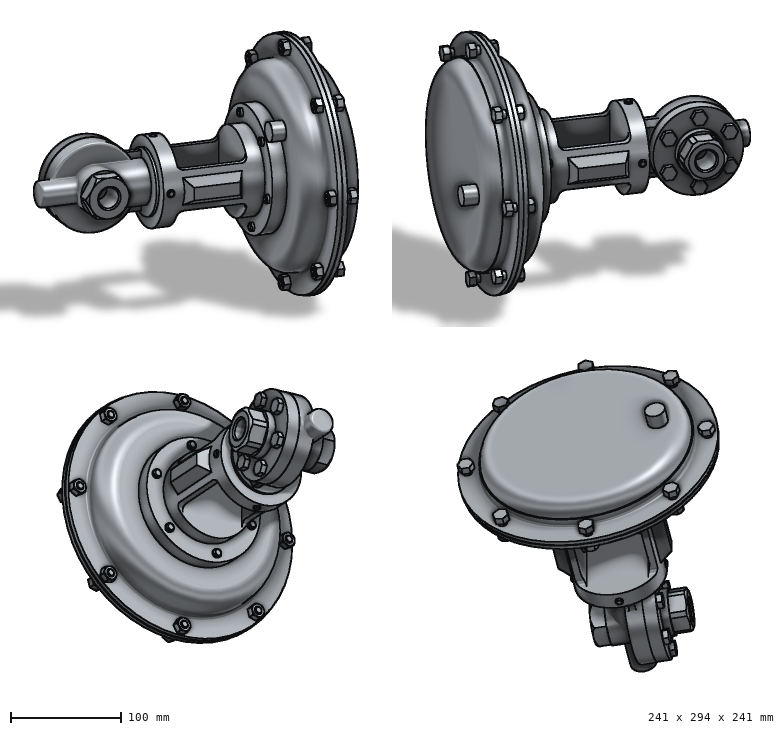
import cadquery as cq
import math

OVERLAP = 1.5
SELECT_MARGIN = 0.3
HEX_APOTHEM_RATIO = math.cos(math.radians(30))

valve_stub_end_y = -55.5
neck_plate_y = 47.7
yoke_front_y = 50.3
window_front_y = 66.2
window_rear_y = 134.8
hub_front_y = 149.8
housing_front_y = 164.2
flange_front_y = 189.8
flange_split_y = 194.5
flange_rear_y = 199.2
housing_rear_y = 224.2
rear_port_end_y = 238.5

flange_radius = 120.5
front_flange_radius = 119.8
dome_radius = 98.3
dome_round = 17.0
rear_step_radius = 99.5
rear_step_y = 207.5
front_flare = 3.5
rear_flare = 4.0
port_radius = 9.5
port_circle_radius = 70.0
front_port_angle = 45
rear_port_angle = 180
front_port_end_y = 150.7

bolt_count = 8
bolt_circle_radius = 111.5
bolt_radius = 4.0
bolt_head_rear_y = 210.5
bolt_head_front_y = 203.5
bolt_end_y = 181.9
nut_front_y = 182.7
bolt_hex_apothem = 6.5
bolt_end_chamfer = 1.2
nut_chamfer = 1.2

hub_radius = 60.5
hub_screw_count = 6
hub_screw_circle_radius = 52.5
hub_screw_first_angle = 45
hub_screw_radius = 4.0
hub_screw_height = 3.5
yoke_radius = 43.0
leg_half_height = 19.5
leg_inner_x = 31.8
leg_foot_x = 28.5
leg_foot_length = 11.5
window_round = 6.0
wing_tip_x = 52.7
wing_mid_y = 99.0
wing_base_length = 58.3
wing_base_height = 26.0
wing_tip_length = 45.3
wing_tip_height = 12.5
set_screw_radius = 3.5
set_screw_tip = 44.7
set_screw_y = 57.5
screw_chamfer = 1.2
neck_plate_radius = 32.0

body_radius = 43.3
cover_radius = 43.0
cover_left_x = -29.5
cover_right_x = -16.8
body_right_x = 0.3
body_round = 3.0
joint_fillet = 1.5
neck_radius = 22.0
neck_center_x = -2.5
rib_left_x = -14.7
rib_right_x = -4.5
rib_half_height = 28.5
rib_chamfer_x = 4.5
rib_chamfer_z = 6.2
port_hub_radius = neck_radius
left_hub_end_x = -37.5
left_hex_end_x = -54.7
right_hub_end_x = 21.5
right_hex_end_x = 35.5
left_hex_apothem = 19.0
left_corner_apothem = 20.5
right_hex_apothem = 19.5
right_end_chamfer = 3.0
left_end_chamfer_axial = 2.0
left_end_chamfer_radial = 3.8
bore_radius = 9.7
bore_mouth_chamfer = 1.5
bore_depth = 29.5
valve_stub_radius = 12.5
valve_stub_round = 2.6
cover_bolt_count = 6
cover_bolt_circle_radius = 33.5
cover_bolt_top_x = -34.7


def rod_y(radius, y_start, y_end, x=0, z=0):
    """Cylinder along Y between two stations."""
    start = cq.Vector(x, y_start, z)
    direction = cq.Vector(0, math.copysign(1, y_end - y_start), 0)
    return cq.Workplane(cq.Solid.makeCylinder(radius, abs(y_end - y_start), start, direction))


def rod_x(radius, x_start, x_end):
    """Cylinder on the X axis between two stations."""
    return cq.Workplane("YZ", origin=(x_start, 0, 0)).circle(radius).extrude(x_end - x_start)


def hexagon(plane, apothem, height, turn=0):
    """Hexagonal prism; its corners point along the plane's local X unless turned."""
    prism = plane.polygon(6, 2 * apothem / HEX_APOTHEM_RATIO).extrude(height)
    return prism.rotate(plane.plane.origin, plane.plane.origin + plane.plane.zDir, turn)


def on_circle(radius, angle):
    """X and Z of a point on a circle around the actuator axis."""
    return radius * math.cos(math.radians(angle)), radius * math.sin(math.radians(angle))


def make_housing():
    flat_radius = dome_radius - dome_round
    corner = math.sqrt(0.5)
    front_corner = (flat_radius + dome_round * corner, housing_front_y + dome_round * (1 - corner))
    rear_corner = (flat_radius + dome_round * corner, housing_rear_y - dome_round * (1 - corner))
    front_foot = (dome_radius + front_flare, flange_front_y)
    rear_foot = (rear_step_radius + rear_flare, flange_rear_y)
    front_flare_mid = (front_foot[0] - front_flare * corner, flange_front_y - front_flare * (1 - corner))
    rear_flare_mid = (rear_foot[0] - rear_flare * corner, flange_rear_y + rear_flare * (1 - corner))
    return (
        cq.Workplane("XY")
        .moveTo(0, housing_front_y)
        .lineTo(flat_radius, housing_front_y)
        .threePointArc(front_corner, (dome_radius, housing_front_y + dome_round))
        .lineTo(dome_radius, flange_front_y - front_flare)
        .threePointArc(front_flare_mid, front_foot)
        .lineTo(front_flange_radius, flange_front_y)
        .lineTo(front_flange_radius, flange_split_y)
        .lineTo(flange_radius, flange_split_y)
        .lineTo(flange_radius, flange_rear_y)
        .lineTo(*rear_foot)
        .threePointArc(rear_flare_mid, (rear_step_radius, flange_rear_y + rear_flare))
        .lineTo(rear_step_radius, rear_step_y)
        .lineTo(dome_radius, rear_step_y)
        .threePointArc(rear_corner, (flat_radius, housing_rear_y))
        .lineTo(0, housing_rear_y)
        .close()
        .revolve(360, (0, 0, 0), (0, 1, 0))
    )


def make_ports():
    x, z = on_circle(port_circle_radius, rear_port_angle)
    rear = rod_y(port_radius, housing_rear_y - OVERLAP, rear_port_end_y, x, z)
    x, z = on_circle(port_circle_radius, front_port_angle)
    front = rod_y(port_radius, front_port_end_y, housing_front_y + OVERLAP, x, z)
    return [rear, front]


def make_flange_bolt():
    """Bolt on the +X side: shank, head with corners radial, nut with flats radial."""
    shank = rod_y(bolt_radius, bolt_head_rear_y, bolt_end_y, x=bolt_circle_radius)
    shank = shank.faces("<Y").chamfer(bolt_end_chamfer)
    head_plane = cq.Workplane("XZ", origin=(bolt_circle_radius, bolt_head_rear_y, 0))
    head = hexagon(head_plane, bolt_hex_apothem, bolt_head_rear_y - bolt_head_front_y)
    nut_plane = cq.Workplane("XZ", origin=(bolt_circle_radius, flange_front_y + OVERLAP, 0))
    nut = hexagon(nut_plane, bolt_hex_apothem, flange_front_y + OVERLAP - nut_front_y, turn=30)
    corner_radius = bolt_hex_apothem / HEX_APOTHEM_RATIO
    envelope = rod_y(corner_radius, flange_front_y + OVERLAP, nut_front_y, x=bolt_circle_radius)
    nut = nut.intersect(envelope.faces("<Y").chamfer(nut_chamfer))
    return shank.union(head).union(nut)


def make_hub_screws():
    screws = []
    for i in range(hub_screw_count):
        angle = hub_screw_first_angle + i * 360 / hub_screw_count
        x, z = on_circle(hub_screw_circle_radius, angle)
        screw = rod_y(hub_screw_radius, hub_front_y + OVERLAP, hub_front_y - hub_screw_height, x, z)
        screws.append(screw.faces("<Y").chamfer(screw_chamfer))
    return screws


def make_yoke():
    yoke = rod_y(yoke_radius, yoke_front_y, hub_front_y + OVERLAP)
    foot_offset = leg_inner_x - leg_foot_x
    foot_radius = (foot_offset**2 + leg_foot_length**2) / (2 * foot_offset)
    opening = (
        cq.Workplane("XY")
        .moveTo(leg_inner_x, window_rear_y)
        .lineTo(leg_inner_x, window_front_y + leg_foot_length)
        .radiusArc((leg_foot_x, window_front_y), foot_radius)
        .lineTo(-leg_foot_x, window_front_y)
        .radiusArc((-leg_inner_x, window_front_y + leg_foot_length), foot_radius)
        .lineTo(-leg_inner_x, window_rear_y)
        .close()
        .extrude(yoke_radius, both=True)
    )
    yoke = yoke.cut(opening)
    window_length = window_rear_y - window_front_y
    window_mid_y = (window_rear_y + window_front_y) / 2
    clearance = (
        cq.Workplane("XY", origin=(0, window_mid_y, leg_half_height))
        .rect(2 * yoke_radius, window_length)
        .extrude(yoke_radius)
        .faces("<Z")
        .edges("|X")
        .fillet(window_round)
    )
    return yoke.cut(clearance).cut(clearance.mirror("XY"))


def make_wing():
    """Tapered pad on the outside of the +X leg."""
    base_x = math.sqrt(yoke_radius**2 - (wing_base_height / 2) ** 2)
    taper = (
        cq.Workplane("YZ", origin=(base_x, wing_mid_y, 0))
        .rect(wing_base_length, wing_base_height)
        .workplane(offset=wing_tip_x - base_x)
        .rect(wing_tip_length, wing_tip_height)
        .loft(ruled=True)
    )
    root = (
        cq.Workplane("YZ", origin=(leg_inner_x, wing_mid_y, 0))
        .rect(wing_base_length, wing_base_height)
        .extrude(base_x - leg_inner_x)
    )
    return taper.union(root)


def make_set_screw():
    """Set screw on the +X side of the front yoke ring."""
    plane = cq.Workplane("YZ", origin=(leg_inner_x, set_screw_y, 0))
    screw = plane.circle(set_screw_radius).extrude(set_screw_tip - leg_inner_x)
    return screw.faces(">X").chamfer(screw_chamfer)


def make_neck():
    """Column and rib that carry the valve body."""
    right_x = neck_center_x + neck_radius
    profile = (
        cq.Workplane("XY")
        .moveTo(rib_left_x, 0)
        .lineTo(neck_center_x, 0)
        .lineTo(right_x, neck_radius)
        .lineTo(right_x, neck_plate_y + OVERLAP)
        .lineTo(rib_left_x, neck_plate_y + OVERLAP)
        .close()
        .extrude(neck_radius, both=True)
    )
    column = rod_y(neck_radius, 0, neck_plate_y + OVERLAP, x=neck_center_x).intersect(profile)
    shoulder_z = rib_half_height - rib_chamfer_z
    rib = (
        cq.Workplane("XZ")
        .polyline([
            (rib_right_x, rib_half_height),
            (rib_left_x + rib_chamfer_x, rib_half_height),
            (rib_left_x, shoulder_z),
            (rib_left_x, -shoulder_z),
            (rib_left_x + rib_chamfer_x, -rib_half_height),
            (rib_right_x, -rib_half_height),
        ])
        .close()
        .extrude(-(neck_plate_y + OVERLAP))
    )
    return column.union(rib)


def make_valve_body():
    body = rod_x(body_radius, cover_right_x, body_right_x).faces(">X").edges().fillet(body_round)
    stub = rod_y(valve_stub_radius, 0, valve_stub_end_y).faces("<Y").edges().fillet(valve_stub_round)
    hub = rod_x(port_hub_radius, cover_right_x, right_hub_end_x)
    body = body.union(make_neck()).union(stub).union(hub)
    joint_box = cq.selectors.BoxSelector(
        (rib_left_x - SELECT_MARGIN, -body_radius - SELECT_MARGIN, -rib_half_height - SELECT_MARGIN),
        (right_hub_end_x - SELECT_MARGIN, body_radius + SELECT_MARGIN, rib_half_height + SELECT_MARGIN),
        boundingbox=True,
    )
    body = body.edges(joint_box).fillet(joint_fillet)
    cover = rod_x(cover_radius, cover_left_x, cover_right_x)
    left_hub = rod_x(port_hub_radius, left_hub_end_x, cover_left_x)
    plate = rod_y(neck_plate_radius, neck_plate_y, yoke_front_y + OVERLAP)
    return body.union(cover).union(left_hub).union(plate)


def make_port_nuts():
    left_plane = cq.Workplane("YZ", origin=(left_hex_end_x, 0, 0))
    left_length = left_hub_end_x - left_hex_end_x
    left = hexagon(left_plane, left_hex_apothem, left_length)
    left = left.intersect(hexagon(left_plane, left_corner_apothem, left_length, turn=30))
    half_cut = 2 * left_hex_apothem - math.sqrt(3) * left_corner_apothem
    left_corner_radius = math.hypot(left_corner_apothem, half_cut)
    left_envelope = rod_x(left_corner_radius, left_hex_end_x, left_hub_end_x)
    left = left.intersect(left_envelope.faces("<X").chamfer(left_end_chamfer_axial, left_end_chamfer_radial))
    right_plane = cq.Workplane("YZ", origin=(right_hub_end_x, 0, 0))
    right = hexagon(right_plane, right_hex_apothem, right_hex_end_x - right_hub_end_x)
    right_corner_radius = right_hex_apothem / HEX_APOTHEM_RATIO
    right_envelope = rod_x(right_corner_radius, right_hub_end_x, right_hex_end_x)
    right = right.intersect(right_envelope.faces(">X").chamfer(right_end_chamfer))
    return [left, right]


def make_cover_bolts():
    bolts = []
    for i in range(cover_bolt_count):
        y, z = on_circle(cover_bolt_circle_radius, 90 + i * 360 / cover_bolt_count)
        plane = cq.Workplane("YZ", origin=(cover_bolt_top_x, y, z))
        bolts.append(hexagon(plane, bolt_hex_apothem, cover_left_x + OVERLAP - cover_bolt_top_x))
    return bolts


def make_left_bore():
    """Blind bore with a chamfered mouth at the left port."""
    mouth_radius = bore_radius + bore_mouth_chamfer
    return (
        cq.Workplane("XY", origin=(left_hex_end_x, 0, 0))
        .polyline([
            (0, 0),
            (0, mouth_radius),
            (bore_mouth_chamfer, bore_radius),
            (bore_depth, bore_radius),
            (bore_depth, 0),
        ])
        .close()
        .revolve(360, (0, 0, 0), (1, 0, 0))
    )


result = make_housing()
result = result.union(rod_y(hub_radius, hub_front_y, housing_front_y + OVERLAP))
result = result.union(make_yoke()).union(make_valve_body())

for piece in make_ports() + make_hub_screws() + make_port_nuts() + make_cover_bolts():
    result = result.union(piece)

flange_bolt = make_flange_bolt()
for i in range(bolt_count):
    result = result.union(flange_bolt.rotate((0, 0, 0), (0, 1, 0), i * 360 / bolt_count))

for angle in (0, 180):
    result = result.union(make_wing().rotate((0, 0, 0), (0, 1, 0), angle))

for angle in (0, 90, 180, 270):
    result = result.union(make_set_screw().rotate((0, 0, 0), (0, 1, 0), angle))

left_bore = make_left_bore()
right_bore = left_bore.mirror("YZ").translate((left_hex_end_x + right_hex_end_x, 0, 0))
result = result.cut(left_bore).cut(right_bore)